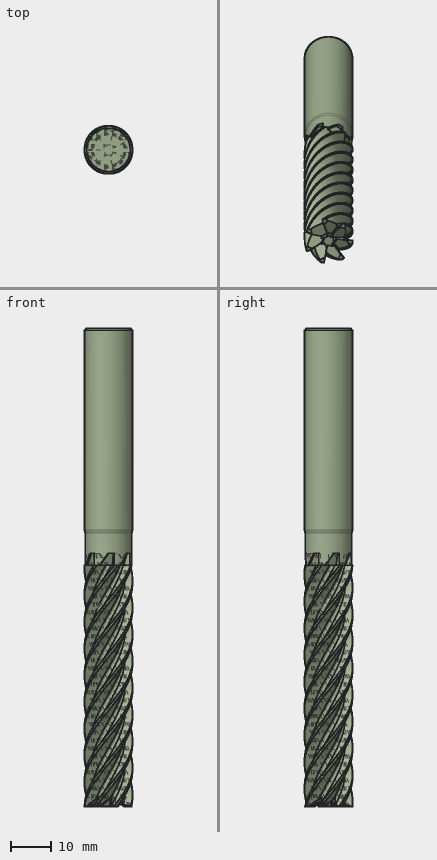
import cadquery as cq
import math

overall_length = 119.0
shank_diameter = 12.0
shank_radius = shank_diameter / 2

neck_radius = 5.8
shank_start_z = 68.8
neck_step_height = 0.7
shank_end_chamfer = 0.6

cutting_length = 60.0
cutting_radius = shank_radius
flute_count = 7
flute_pitch_angle = 360 / flute_count
helix_lead = 46.5
twist_angle = 360 * cutting_length / helix_lead
first_edge_angle = -24.5 - twist_angle

margin_angle = 8.0
relief_end_angle = 28.0
relief_end_radius = 4.3
floor_angle = 38.0
floor_radius = 3.8
rake_foot_angle = 47.0
rake_foot_radius = 4.2

runout_height = 3.0
runout_start_radius = 4.0
runout_end_radius = 5.1
runout_bottom_angle = 36.0
runout_top_angle = 14.0

gash_depth = 2.3
gash_inner_radius = 1.2
gash_width = 3.5


def polar(radius, angle):
    """Point in the XY plane at the given radius and angle in degrees."""
    return (radius * math.cos(math.radians(angle)), radius * math.sin(math.radians(angle)))


def tooth_section():
    """Cross-section of the fluted length at Z = 0."""
    section = cq.Workplane("XY").moveTo(*polar(cutting_radius, first_edge_angle))
    for tooth in range(flute_count):
        edge = first_edge_angle + tooth * flute_pitch_angle
        section = section.threePointArc(
            polar(cutting_radius, edge + margin_angle / 2), polar(cutting_radius, edge + margin_angle)
        )
        section = section.lineTo(*polar(relief_end_radius, edge + relief_end_angle))
        section = section.threePointArc(
            polar(floor_radius, edge + floor_angle), polar(rake_foot_radius, edge + rake_foot_angle)
        )
        if tooth < flute_count - 1:
            section = section.lineTo(*polar(cutting_radius, edge + flute_pitch_angle))
    return section.close()


def gash(edge_angle):
    """Wedge in front of a cutting edge: deepest at the rake face, running out at the tooth behind it."""
    return (
        cq.Workplane("YZ")
        .polyline([(0, 0), (0, gash_depth), (-gash_width, 0)])
        .close()
        .extrude(cutting_radius)
        .translate((gash_inner_radius, 0, 0))
        .rotate((0, 0, 0), (0, 0, 1), edge_angle)
    )


def make_cutting_part():
    body = tooth_section().twistExtrude(cutting_length, twist_angle)
    for tooth in range(flute_count):
        body = body.cut(gash(first_edge_angle + tooth * flute_pitch_angle))
    return body


def runout_outline(height, floor, width_angle):
    """Rectangle across a run-out pocket, from its floor outwards, at a height above the cutting length."""
    width = neck_radius * math.sin(math.radians(width_angle))
    plane = cq.Workplane("XY", origin=(0, 0, cutting_length + height))
    rectangle = plane.polyline([(floor, 0), (shank_radius, 0), (shank_radius, -width), (floor, -width)])
    return rectangle.close().wire().val()


def runout_pocket(edge_angle):
    """Pocket with an upright wall at the cutting edge angle, a slanted wall and a rising floor."""
    pocket = cq.Solid.makeLoft(
        [
            runout_outline(0, runout_start_radius, runout_bottom_angle),
            runout_outline(runout_height, runout_end_radius, runout_top_angle),
        ],
        True,
    )
    return cq.Workplane(pocket.rotate(cq.Vector(0, 0, 0), cq.Vector(0, 0, 1), edge_angle))


def make_shank():
    neck_end_z = shank_start_z - neck_step_height
    body = (
        cq.Workplane("XZ")
        .moveTo(0, cutting_length)
        .lineTo(neck_radius, cutting_length)
        .lineTo(neck_radius, neck_end_z)
        .lineTo(shank_radius, shank_start_z)
        .lineTo(shank_radius, overall_length - shank_end_chamfer)
        .lineTo(shank_radius - shank_end_chamfer, overall_length)
        .lineTo(0, overall_length)
        .close()
        .revolve(360, (0, 0, 0), (0, 1, 0))
    )
    for tooth in range(flute_count):
        top_edge_angle = first_edge_angle + twist_angle + tooth * flute_pitch_angle
        body = body.cut(runout_pocket(top_edge_angle))
    return body


cutting_part = make_cutting_part()
shank = make_shank()
result = cq.Compound.makeCompound([cutting_part.val(), shank.val()])